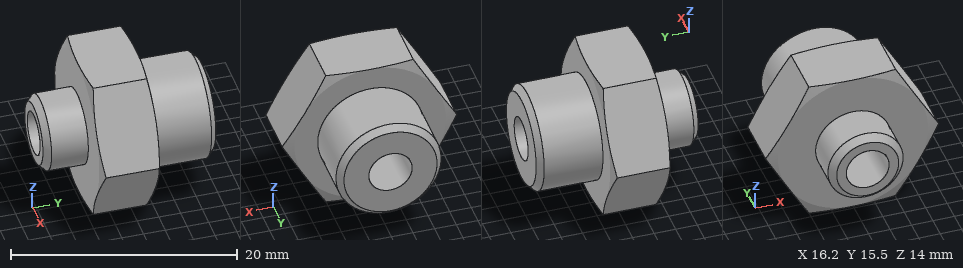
import cadquery as cq
import math

across_corners = 16.17
across_flats = across_corners * math.cos(math.radians(30))
corner_bevel_angle = 15.0

total_length = 15.5
front_length = 4.0
hex_length = 5.5
back_length = total_length - front_length - hex_length

front_diameter = 7.0
front_chamfer = 0.61
back_diameter = 9.73
back_chamfer = 0.57
bore_diameter = 4.0

hex_start = front_length
hex_end = hex_start + hex_length


def plane_at(y):
    """Plane across the part axis at the given Y, with its normal along +Y."""
    return cq.Workplane(cq.Plane(origin=(0, y, 0), xDir=(1, 0, 0), normal=(0, 1, 0)))


def bevelled_hexagon():
    """Hexagon whose corners are turned down by a shallow cone at both ends."""
    flat_radius = across_flats / 2
    corner_radius = across_corners / 2
    bevel_depth = (corner_radius - flat_radius) * math.tan(math.radians(corner_bevel_angle))
    prism = plane_at(hex_start).polygon(6, across_corners).extrude(hex_length)
    turned_envelope = (
        cq.Workplane("XY")
        .moveTo(0, hex_start)
        .lineTo(flat_radius, hex_start)
        .lineTo(corner_radius, hex_start + bevel_depth)
        .lineTo(corner_radius, hex_end - bevel_depth)
        .lineTo(flat_radius, hex_end)
        .lineTo(0, hex_end)
        .close()
        .revolve(360, (0, 0, 0), (0, 1, 0))
    )
    return prism.intersect(turned_envelope)


def spigot(start, length, diameter, chamfer, free_end):
    """Cylinder along Y with a chamfered rim at its free end."""
    cylinder = plane_at(start).circle(diameter / 2).extrude(length)
    return cylinder.faces(free_end).edges().chamfer(chamfer)


front_spigot = spigot(0, front_length, front_diameter, front_chamfer, "<Y")
back_spigot = spigot(hex_end, back_length, back_diameter, back_chamfer, ">Y")
bore = plane_at(0).circle(bore_diameter / 2).extrude(total_length)

result = bevelled_hexagon().union(front_spigot).union(back_spigot).cut(bore)